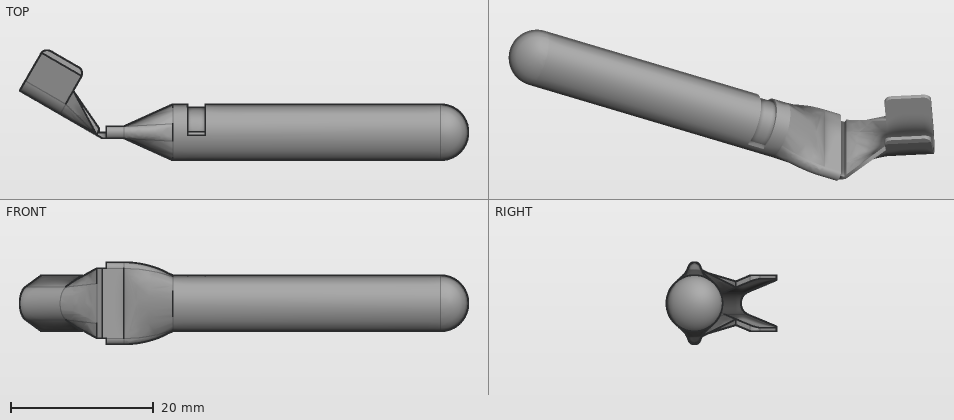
import cadquery as cq
import math

handle_radius = 3.95
handle_length = 37.55

groove_start = 2.1
groove_width = 2.45
groove_depth = 0.4
groove_floor_radius = handle_radius - groove_depth
groove_lip_y = -0.4
groove_floor_y = 0.05

neck_length = 6.85
neck_half_thickness = 0.85
neck_half_height = 5.78
neck_flat_half_height = neck_half_height - neck_half_thickness
rail_length = 2.5
seam_angle = math.radians(18)

tilt = 30.0
bend_x = -9.905
bend_y = -neck_half_thickness
hook_reach = 13.38
channel_length = 6.53
channel_radius = 2.45
wall = 0.8
flare = math.radians(20)
channel_height = 7.0
channel_half_width = 3.95
leg_corner_radius = 1.0

web_leg_height = 3.75
web_root_near = 0.85
web_root_far = 1.05
web_root_thickness = 1.0
web_root_seam = 2.8


def make_handle():
    cylinder = cq.Workplane("YZ").circle(handle_radius).extrude(handle_length)
    dome = cq.Workplane("XY").sphere(handle_radius).translate((handle_length, 0, 0))
    return cylinder.union(dome)


def make_groove():
    """Half ring of material to remove, with shoulders that slope out to the handle surface."""
    floor_z = math.sqrt(groove_floor_radius**2 - groove_floor_y**2)
    lip_z = math.sqrt(handle_radius**2 - groove_lip_y**2)
    slope = (lip_z - floor_z) / (groove_lip_y - groove_floor_y)
    outer_y = groove_lip_y - groove_depth
    outer_z = lip_z - groove_depth * slope
    beyond_y = 2 * handle_radius
    kept_side = (
        cq.Workplane("YZ", origin=(groove_start, 0, 0))
        .polyline(
            [
                (groove_floor_y, floor_z),
                (outer_y, outer_z),
                (beyond_y, outer_z),
                (beyond_y, -outer_z),
                (outer_y, -outer_z),
                (groove_floor_y, -floor_z),
            ]
        )
        .close()
        .extrude(groove_width)
    )
    core = (
        cq.Workplane("YZ", origin=(groove_start, 0, 0))
        .circle(groove_floor_radius)
        .extrude(groove_width)
    )
    return kept_side.cut(core)


def neck_section(blend):
    """Closed section of the neck: blend 0 is the flat slot, blend 1 is the handle circle."""
    half_y = neck_half_thickness + (handle_radius - neck_half_thickness) * blend
    half_z = neck_half_height + (handle_radius - neck_half_height) * blend**2
    end_y = handle_radius * math.sin(seam_angle)
    end_z = handle_radius * math.cos(seam_angle)
    corner_y = neck_half_thickness + (end_y - neck_half_thickness) * blend
    corner_z = neck_flat_half_height + (end_z - neck_flat_half_height) * blend**2
    x = neck_length * (blend - 1)
    section = cq.Workplane("YZ", origin=(x, 0, 0)).moveTo(corner_y, corner_z)
    section = section.threePointArc((0, half_z), (-corner_y, corner_z))
    if blend == 0:
        section = section.lineTo(-corner_y, -corner_z)
    else:
        section = section.threePointArc((-half_y, 0), (-corner_y, -corner_z))
    section = section.threePointArc((0, -half_z), (corner_y, -corner_z))
    if blend == 0:
        section = section.lineTo(corner_y, corner_z)
    else:
        section = section.threePointArc((half_y, 0), (corner_y, corner_z))
    return section.wire().val()


def make_neck():
    sections = [neck_section(blend) for blend in (0, 0.5, 1)]
    swell = cq.Workplane(obj=cq.Solid.makeLoft(sections))
    rails = (
        cq.Workplane("YZ", origin=(-neck_length - rail_length, 0, 0))
        .slot2D(2 * neck_half_height, 2 * neck_half_thickness, angle=90)
        .extrude(rail_length)
    )
    return swell.union(rails)


def tilted_point(along, up):
    """Turn a hook position (along the tilt from the bend, square to it) into X, Y."""
    angle = math.radians(tilt)
    x = bend_x + along * math.cos(angle) + up * math.sin(angle)
    y = bend_y - along * math.sin(angle) + up * math.cos(angle)
    return x, y


def make_plate():
    root_near = tilted_point(-web_root_near, 0)
    root_far = tilted_point(-web_root_far, web_root_thickness)
    return (
        cq.Workplane("XY")
        .polyline(
            [
                (bend_x, bend_y),
                root_near,
                root_far,
                (root_far[0], 0),
                (-neck_length, 0),
                (-neck_length, bend_y),
            ]
        )
        .close()
        .extrude(neck_flat_half_height, both=True)
    )


def leg_half_width(radius, up):
    """Distance from the channel's mid plane to a leg surface tangent to the given floor arc."""
    return radius / math.cos(flare) + (up - channel_radius) * math.tan(flare)


def channel_section(plane, height):
    """U-shaped section with a round floor and flared legs, cut off at the given height."""
    inner_radius = channel_radius - wall
    outer_z = channel_radius * math.cos(flare)
    outer_y = channel_radius - channel_radius * math.sin(flare)
    inner_z = inner_radius * math.cos(flare)
    inner_y = channel_radius - inner_radius * math.sin(flare)
    outer_tip = leg_half_width(channel_radius, height)
    inner_tip = leg_half_width(inner_radius, height)
    return (
        cq.Workplane(plane)
        .moveTo(outer_tip, height)
        .lineTo(outer_z, outer_y)
        .threePointArc((0, 0), (-outer_z, outer_y))
        .lineTo(-outer_tip, height)
        .lineTo(-inner_tip, height)
        .lineTo(-inner_z, inner_y)
        .threePointArc((0, wall), (inner_z, inner_y))
        .lineTo(inner_tip, height)
        .close()
    )


def web_root_section():
    """Flat bar section where the web joins the plate, split to match the channel's edges."""
    lean = web_root_far - web_root_near
    length = math.hypot(lean, web_root_thickness)
    plane = cq.Plane(
        origin=(-web_root_near, 0, 0), xDir=(0, 0, 1), normal=(-web_root_thickness, -lean, 0)
    )
    stops = [neck_flat_half_height, web_root_seam, -web_root_seam, -neck_flat_half_height]
    near_side = [(z, 0) for z in stops]
    far_side = [(z, length) for z in reversed(stops)]
    return cq.Workplane(plane).polyline(near_side + far_side).close()


def make_hook():
    """Channel and web, built level with the bend at the origin and then tilted."""
    channel_end = channel_length - hook_reach
    plane = cq.Plane(origin=(channel_end, 0, 0), xDir=(0, 0, 1), normal=(-1, 0, 0))
    envelope = (
        cq.Workplane("XY")
        .box(channel_length, channel_height, 2 * channel_half_width)
        .translate((channel_end - channel_length / 2, channel_height / 2, 0))
        .edges("|Z")
        .edges(">Y")
        .fillet(leg_corner_radius)
    )
    channel = channel_section(plane, channel_height).extrude(channel_length).intersect(envelope)
    web_sections = [channel_section(plane, web_leg_height).val(), web_root_section().val()]
    web = cq.Workplane(obj=cq.Solid.makeLoft(web_sections, ruled=True))
    hook = channel.union(web)
    return hook.rotate((0, 0, 0), (0, 0, 1), -tilt).translate((bend_x, bend_y, 0))


handle = make_handle().cut(make_groove())
result = handle.union(make_neck()).union(make_plate()).union(make_hook())